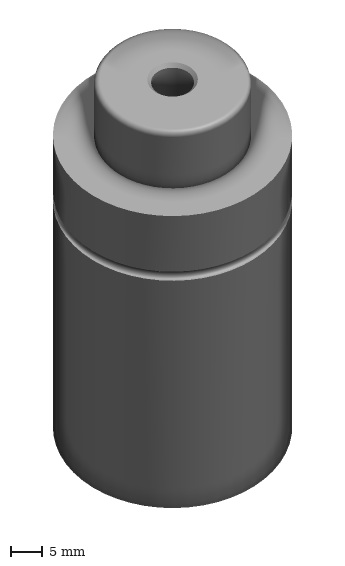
import cadquery as cq
import math

total_height = 75.0
body_diameter = 38.0
rod_diameter = 25.0
rod_length = 12.0
rod_edge_radius = 1.0
groove_radius = 1.0
groove_center_z = 50.0
hole_diameter = 6.8
hole_mouth_diameter = 8.0
hole_depth = 16.0
drill_point_angle = 118.0

body_radius = body_diameter / 2
body_height = total_height - rod_length


def make_body():
    """Cylinder with a half-round groove around its outside."""
    return (
        cq.Workplane("XZ")
        .lineTo(body_radius, 0)
        .lineTo(body_radius, groove_center_z - groove_radius)
        .threePointArc(
            (body_radius - groove_radius, groove_center_z),
            (body_radius, groove_center_z + groove_radius),
        )
        .lineTo(body_radius, body_height)
        .lineTo(0, body_height)
        .close()
        .revolve(360, (0, 0), (0, 1))
    )


def make_rod():
    """Rod end standing on the body, with a rounded top edge."""
    rod = cq.Workplane("XY").workplane(offset=body_height).circle(rod_diameter / 2).extrude(rod_length)
    return rod.faces(">Z").edges().fillet(rod_edge_radius)


def make_hole():
    """Blind drilled hole with a 45 degree chamfered mouth and a conical bottom."""
    hole_radius = hole_diameter / 2
    mouth_radius = hole_mouth_diameter / 2
    chamfer_depth = mouth_radius - hole_radius
    floor_z = total_height - hole_depth
    tip_z = floor_z - hole_radius / math.tan(math.radians(drill_point_angle / 2))
    return (
        cq.Workplane("XZ")
        .moveTo(0, tip_z)
        .lineTo(hole_radius, floor_z)
        .lineTo(hole_radius, total_height - chamfer_depth)
        .lineTo(mouth_radius, total_height)
        .lineTo(0, total_height)
        .close()
        .revolve(360, (0, 0), (0, 1))
    )


result = make_body().union(make_rod()).cut(make_hole())